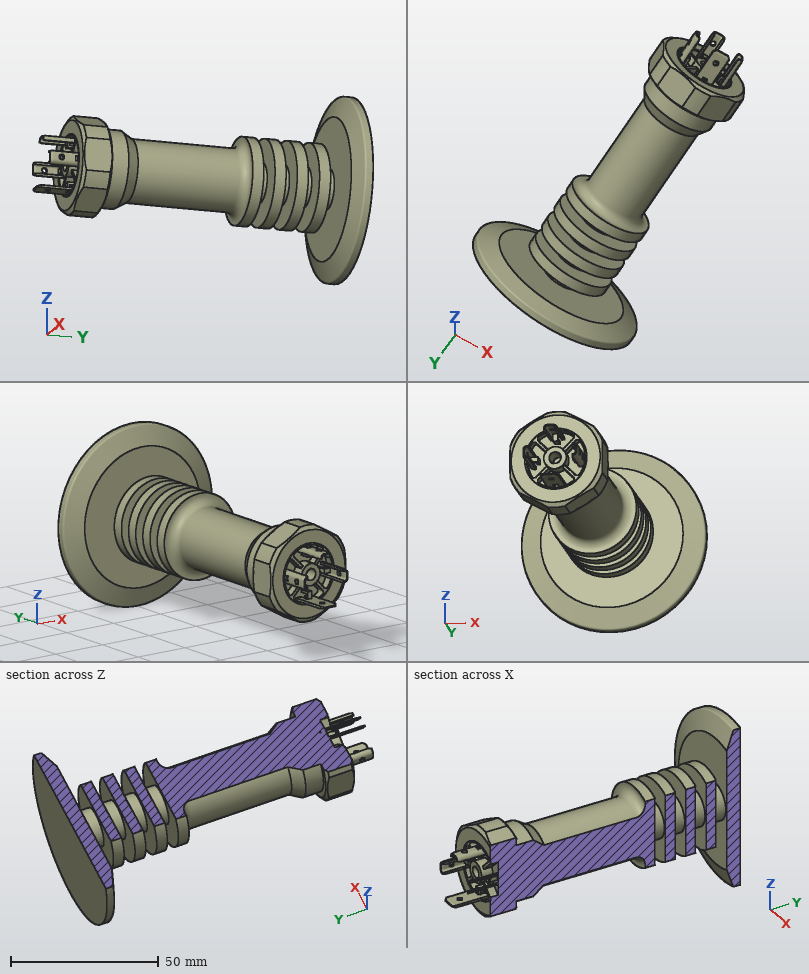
import cadquery as cq
import math

total_length = 110.5

flange_diameter = 64.0
flange_face_diameter = 49.5
flange_thickness = 5.4
flange_slope = math.radians(20)
flange_rim_blend = 0.8

neck_diameter = 14.0
fin_diameter = 30.5
fin_count = 4
fin_thickness = 4.0
fin_pitch = 8.0
last_fin_end = 37.6

body_diameter = 22.0
body_root_radius = 3.2
collar_diameter = 27.0
cone_start = 77.4
collar_start = 81.5
nut_start = 88.1

nut_end = 98.7
nut_across_flats = 32.0
nut_corner_diameter = 34.0
nut_face_diameter = 30.9
nut_chamfer_length = 1.0

insert_diameter = 21.5
insert_joint_depth = 0.2
pocket_outer_diameter = 20.3
pocket_corner_radius = 0.9
pocket_depth = 3.3
spoke_width = 1.1
hub_diameter = 7.8
hub_height = 1.1
hub_hole_diameter = 4.1
hub_hole_depth = 6.6
terminal_count = 4

terminal_outer_radius = 9.5
sheet_thickness = 0.9
terminal_hole_diameter = 1.8
tip_length = 1.0
tip_thinning = 0.2
channel_width = 4.8
channel_depth = 2.0
channel_flat_width = 1.7
channel_end = 108.3
channel_hole_station = 104.2
blade_width = 6.3
blade_tip_width = 4.4
blade_hole_station = 106.1

tab_width = 1.7
tab_reach = 6.1
tab_rise = 0.5
tab_thickness = 0.9


def plane_at(station):
    """Plane across the axis with X along +X, Y along +Z, facing the terminal end."""
    return cq.Workplane("XZ", origin=(0, -station, 0))


def disc(diameter, start, end):
    return plane_at(start).circle(diameter / 2).extrude(end - start)


def turned(points):
    """Revolve a closed outline of (radius, station) points about the Y axis."""
    outline = [(radius, -station) for radius, station in points]
    return cq.Workplane("XY").polyline(outline).close().revolve(360, (0, 0, 0), (0, 1, 0))


def make_flange():
    rim_radius = flange_diameter / 2
    face_radius = flange_face_diameter / 2
    rim_thickness = flange_thickness - (rim_radius - face_radius) * math.tan(flange_slope)
    flange = turned([
        (0, 0),
        (rim_radius, 0),
        (rim_radius, rim_thickness),
        (face_radius, flange_thickness),
        (0, flange_thickness),
    ])
    rim_edge = cq.selectors.BoxSelector(
        (-2 * rim_radius, -rim_thickness - 0.1, -2 * rim_radius),
        (2 * rim_radius, -rim_thickness + 0.1, 2 * rim_radius),
        boundingbox=True,
    )
    return flange.edges(rim_edge).fillet(flange_rim_blend)


def make_fins():
    fins = disc(neck_diameter, flange_thickness, last_fin_end)
    for index in range(fin_count):
        end = last_fin_end - index * fin_pitch
        fins = fins.union(disc(fin_diameter, end - fin_thickness, end))
    return fins


def make_body():
    """Body with a concave root against the last fin, widening through a cone to the collar."""
    body_radius = body_diameter / 2
    collar_radius = collar_diameter / 2
    root_radius = body_radius + body_root_radius
    root_end = last_fin_end + body_root_radius
    bulge = body_root_radius * (1 - math.sqrt(0.5))
    return (
        cq.Workplane("XY")
        .moveTo(0, -last_fin_end)
        .lineTo(root_radius, -last_fin_end)
        .threePointArc((body_radius + bulge, -last_fin_end - bulge), (body_radius, -root_end))
        .lineTo(body_radius, -cone_start)
        .lineTo(collar_radius, -collar_start)
        .lineTo(collar_radius, -nut_start)
        .lineTo(0, -nut_start)
        .close()
        .revolve(360, (0, 0, 0), (0, 1, 0))
    )


def make_nut():
    corner_radius = nut_corner_diameter / 2
    face_radius = nut_face_diameter / 2
    blank = turned([
        (0, nut_start),
        (face_radius, nut_start),
        (corner_radius, nut_start + nut_chamfer_length),
        (corner_radius, nut_end - nut_chamfer_length),
        (face_radius, nut_end),
        (0, nut_end),
    ])
    hexagon = (
        plane_at(nut_start)
        .transformed(rotate=(0, 0, 30))
        .polygon(6, nut_across_flats / math.cos(math.pi / 6))
        .extrude(nut_end - nut_start)
    )
    return blank.intersect(hexagon)


def make_pocket():
    """Pocket around the +Z terminal, between two diagonal spokes, the rim and the hub."""
    floor = nut_end - pocket_depth
    reach = insert_diameter
    apex = spoke_width / math.sqrt(2)
    sector = (
        plane_at(floor)
        .polyline([(0, apex), (reach, apex + reach), (-reach, apex + reach)])
        .close()
        .extrude(pocket_depth)
    )
    ring = disc(pocket_outer_diameter, floor, nut_end)
    hub = disc(hub_diameter, floor, nut_end)
    corners = cq.selectors.BoxSelector((-reach, -reach * 9, hub_diameter / 2 + 1.1), (reach, 0, reach))
    return sector.intersect(ring).cut(hub).edges("|Y").edges(corners).fillet(pocket_corner_radius)


def quarter_turned(shape, index):
    return shape.rotate((0, 0, 0), (0, 1, 0), 90 * index)


def channel_profile(station):
    """Outline of the sheet channel at +Z, open toward the axis."""
    half = channel_width / 2
    flat = channel_flat_width / 2
    bend = half - flat
    inner_bend = bend - sheet_thickness
    top = terminal_outer_radius
    bottom = top - channel_depth
    diagonal = math.sqrt(0.5)
    outer_mid = (flat + bend * diagonal, top - bend + bend * diagonal)
    inner_mid = (flat + inner_bend * diagonal, top - bend + inner_bend * diagonal)
    return (
        plane_at(station)
        .moveTo(-flat, top)
        .lineTo(flat, top)
        .threePointArc(outer_mid, (half, top - bend))
        .lineTo(half, bottom)
        .lineTo(half - sheet_thickness, bottom)
        .lineTo(half - sheet_thickness, top - bend)
        .threePointArc(inner_mid, (flat, top - sheet_thickness))
        .lineTo(-flat, top - sheet_thickness)
        .threePointArc((-inner_mid[0], inner_mid[1]), (sheet_thickness - half, top - bend))
        .lineTo(sheet_thickness - half, bottom)
        .lineTo(-half, bottom)
        .lineTo(-half, top - bend)
        .threePointArc((-outer_mid[0], outer_mid[1]), (-flat, top))
        .close()
    )


def terminal_hole(station):
    return cq.Workplane("XY", origin=(0, -station, 0)).circle(terminal_hole_diameter / 2).extrude(insert_diameter)


def make_tab():
    """Bent strip at +Z: an arm toward the axis and a leg down to the pocket floor."""
    top = -(nut_end + tab_rise)
    floor = -(nut_end - pocket_depth)
    root = terminal_outer_radius - sheet_thickness / 2
    return (
        cq.Workplane("YZ")
        .polyline([
            (top, root),
            (top, tab_reach),
            (floor, tab_reach),
            (floor, tab_reach + tab_thickness),
            (top + tab_thickness, tab_reach + tab_thickness),
            (top + tab_thickness, root),
        ])
        .close()
        .extrude(tab_width / 2, both=True)
    )


def make_tab_window():
    """Opening left in the sheet where the tab was bent out."""
    length = pocket_depth + tab_rise
    return (
        plane_at(nut_end - pocket_depth)
        .center(0, terminal_outer_radius)
        .rect(tab_width, 2 * sheet_thickness)
        .extrude(length)
    )


def make_channel_terminal():
    base = nut_end - pocket_depth
    tip_start = channel_end - tip_length
    taper = math.degrees(math.atan(tip_thinning / tip_length))
    channel = channel_profile(base).extrude(tip_start - base)
    tip = channel_profile(tip_start).extrude(tip_length, taper=taper)
    sheet = channel.union(tip).cut(terminal_hole(channel_hole_station))
    return sheet.cut(make_tab_window()).union(make_tab())


def make_blade_terminal():
    """Flat blade, built at +Z, narrowing and thinning at its tip."""
    base = nut_end - pocket_depth
    tip_start = total_length - tip_length
    middle = terminal_outer_radius - sheet_thickness / 2
    blade = plane_at(base).center(0, middle).rect(blade_width, sheet_thickness).extrude(tip_start - base)
    tip = (
        plane_at(tip_start)
        .center(0, middle)
        .rect(blade_width, sheet_thickness)
        .workplane(offset=tip_length)
        .rect(blade_tip_width, sheet_thickness - 2 * tip_thinning)
        .loft()
    )
    sheet = blade.union(tip).cut(terminal_hole(blade_hole_station))
    return sheet.cut(make_tab_window()).union(make_tab())


def make_insert_joint():
    """Shallow groove that separates the contact insert from the nut face."""
    start = nut_end - insert_joint_depth
    return disc(insert_diameter, start, nut_end)


result = make_flange().union(make_fins()).union(make_body()).union(make_nut())
result = result.cut(make_insert_joint())

pocket = make_pocket()
for index in range(terminal_count):
    result = result.cut(quarter_turned(pocket, index))

result = result.union(disc(hub_diameter, nut_end - pocket_depth, nut_end + hub_height))
result = result.cut(disc(hub_hole_diameter, nut_end + hub_height - hub_hole_depth, nut_end + hub_height))

channel_terminal = make_channel_terminal()
for index in (0, 1, 3):
    result = result.union(quarter_turned(channel_terminal, index))
result = result.union(quarter_turned(make_blade_terminal(), 2))